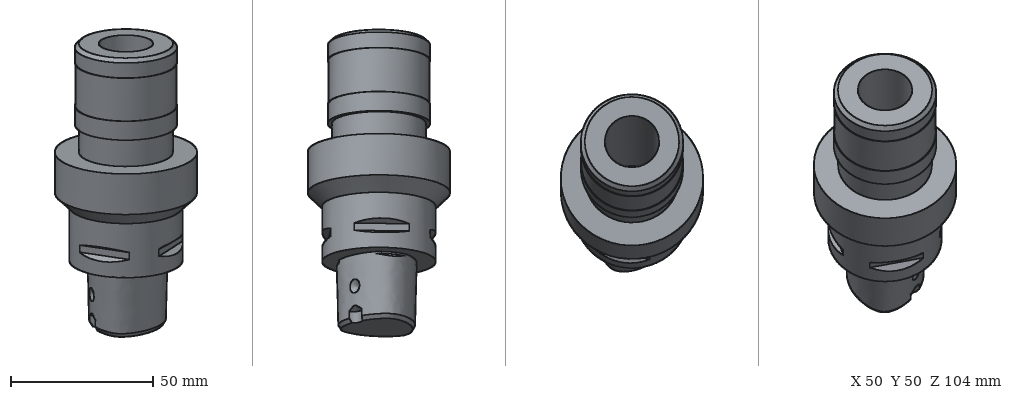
import cadquery as cq
import math

total_height = 104.0
body_bottom = 24.0
flange_cone_bottom = 44.0
flange_bottom = 49.0
flange_top = 64.0
collar_bottom = 74.2
collar_top = 81.1
top_band_bottom = 97.0

body_radius = 20.0
flange_radius = 25.01
neck_radius = 16.5
band_radius = 18.0
relief_radius = 17.8
top_chamfer_height = 1.4
top_chamfer_width = band_radius - neck_radius

bore_diameter = 19.0
bore_depth = total_height - flange_bottom

groove_center_z = 32.0
groove_floor_distance = 17.5
groove_floor_height = 2.6
groove_flank_angle = 28.0
groove_count = 4

shank_radius = 14.0
lobe_height = 0.99
lobe_count = 3
taper_per_side = 1 / 40
taper_top = 21.4
tip_chamfer_height = 1.6
tip_chamfer_width = 0.9
curve_points = 72

undercut_radius = 14.1
undercut_straight = 0.7
undercut_cone = 0.9

dimple_diameter = 4.9
dimple_cone_half_angle = 60.0
dimple_z = 12.6
keyway_radius = 3.1
keyway_axis_y = -13.5
keyway_straight = 4.1
keyway_cone_height = 2.3


def turned_body():
    profile = [
        (0, body_bottom),
        (body_radius, body_bottom),
        (body_radius, flange_cone_bottom),
        (flange_radius, flange_bottom),
        (flange_radius, flange_top),
        (neck_radius, flange_top),
        (neck_radius, collar_bottom),
        (band_radius, collar_bottom),
        (band_radius, collar_top),
        (relief_radius, collar_top),
        (relief_radius, top_band_bottom),
        (band_radius, top_band_bottom),
        (band_radius, total_height - top_chamfer_height),
        (band_radius - top_chamfer_width, total_height),
        (0, total_height),
    ]
    body = cq.Workplane("XZ").polyline(profile).close().revolve(360, (0, 0, 0), (0, 1, 0))
    bore = cq.Workplane("XY").workplane(offset=total_height).circle(bore_diameter / 2).extrude(-bore_depth)
    return body.cut(bore)


def gripper_groove(angle):
    cutter_depth = body_radius
    half_floor = groove_floor_height / 2
    half_mouth = half_floor + cutter_depth * math.tan(math.radians(groove_flank_angle))
    outer = groove_floor_distance + cutter_depth
    section = [
        (groove_floor_distance, groove_center_z - half_floor),
        (outer, groove_center_z - half_mouth),
        (outer, groove_center_z + half_mouth),
        (groove_floor_distance, groove_center_z + half_floor),
    ]
    cutter = cq.Workplane("XZ").polyline(section).close().extrude(body_radius, both=True)
    return cutter.rotate((0, 0, 0), (0, 0, 1), angle)


def lobed_wire(z, mean_radius):
    def curve_point(t):
        turn = 2 * math.pi * t
        support = mean_radius + lobe_height * math.cos(lobe_count * turn)
        slope = -lobe_count * lobe_height * math.sin(lobe_count * turn)
        along = support * math.cos(turn) - slope * math.sin(turn)
        across = support * math.sin(turn) + slope * math.cos(turn)
        return cq.Vector(-across, along, z)

    points = [curve_point(i / curve_points) for i in range(curve_points)]
    return cq.Wire.assembleEdges([cq.Edge.makeSpline(points, periodic=True)])


def shank_loft(lower_z, lower_radius, upper_z, upper_radius):
    wires = [lobed_wire(lower_z, lower_radius), lobed_wire(upper_z, upper_radius)]
    return cq.Workplane(cq.Solid.makeLoft(wires, True))


def lobed_shank():
    taper_bottom_radius = shank_radius - (taper_top - tip_chamfer_height) * taper_per_side
    tip_radius = taper_bottom_radius - tip_chamfer_width
    tip = shank_loft(0, tip_radius, tip_chamfer_height, taper_bottom_radius)
    taper = shank_loft(tip_chamfer_height, taper_bottom_radius, taper_top, shank_radius)
    straight = shank_loft(taper_top, shank_radius, body_bottom, shank_radius)

    outer = shank_radius + 2 * lobe_height
    cone_top = body_bottom - undercut_straight
    cone_bottom = cone_top - undercut_cone
    envelope = [
        (0, taper_top),
        (outer, taper_top),
        (outer, cone_bottom),
        (shank_radius + lobe_height, cone_bottom),
        (undercut_radius, cone_top),
        (undercut_radius, body_bottom),
        (0, body_bottom),
    ]
    trim = cq.Workplane("XZ").polyline(envelope).close().revolve(360, (0, 0, 0), (0, 1, 0))
    return tip.union(taper).union(straight.intersect(trim))


def dimple():
    mouth_radius = dimple_diameter / 2
    flat_y = -(shank_radius - lobe_height - (taper_top - dimple_z) * taper_per_side)
    depth = mouth_radius / math.tan(math.radians(dimple_cone_half_angle))
    cone = cq.Solid.makeCone(
        0,
        2 * mouth_radius,
        2 * depth,
        pnt=cq.Vector(0, flat_y + depth, dimple_z),
        dir=cq.Vector(0, -1, 0),
    )
    return cq.Workplane(cone)


def keyway():
    hole = cq.Workplane("XY").center(0, keyway_axis_y).circle(keyway_radius).extrude(keyway_straight)
    cone = cq.Solid.makeCone(
        keyway_radius,
        0,
        keyway_cone_height,
        pnt=cq.Vector(0, keyway_axis_y, keyway_straight),
    )
    return hole.union(cq.Workplane(cone))


body = turned_body()
for index in range(groove_count):
    body = body.cut(gripper_groove(45 + index * 360 / groove_count))

shank = lobed_shank().cut(dimple()).cut(keyway())
result = body.union(shank)